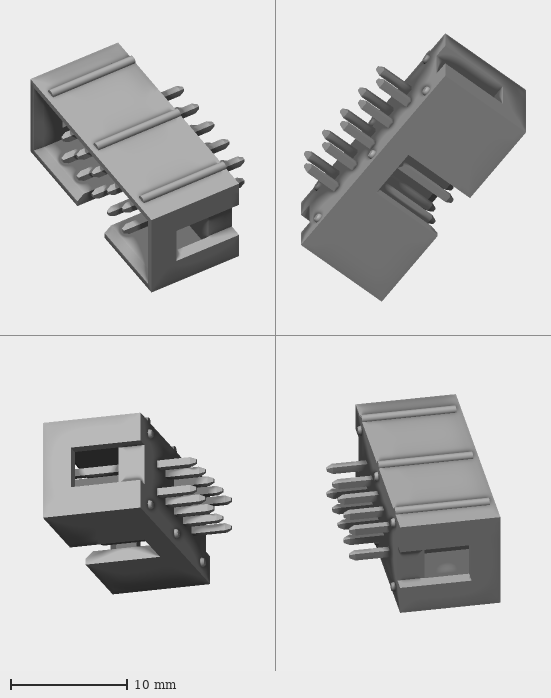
import cadquery as cq
import math

body_width = 20.32
body_depth = 8.8
body_height = 8.7
wall = 1.15
rim_thickness = 0.57
lead_in_depth = 0.65
floor_thickness = 2.35

pitch = 2.55
pin_columns = 5
pin_rows = 2
pin_width = 0.65
pin_tail = 3.5
pin_front_gap = 0.16
tip_width = 0.3
tip_length = 0.49

side_slot_height = 3.62
side_slot_length = 6.28
side_slot_depth = 1.22

key_width = 4.55
key_height = 1.5
key_floor_recess = 0.26

rib_spacing = 3 * pitch
rib_width = 0.83
rib_height = 0.4
rib_flat = 0.06
rib_front_gap = 0.5
bump_radius = 0.43
bump_height = 0.3
bump_edge_offset = 1.1

mid_height = body_height / 2
rib_positions = [-rib_spacing, 0, rib_spacing]


def box(width, depth, height, x, y, z):
    """Box centred on x, starting at y and z."""
    return cq.Workplane("XY").box(width, depth, height, centered=(True, False, False)).translate((x, y, z))


def make_shroud():
    """Box body with a cavity whose mouth is flared by a lead-in chamfer."""
    shroud = box(body_width, body_depth, body_height, 0, 0, 0)
    cavity_width = body_width - 2 * wall
    cavity_height = body_height - 2 * wall
    cavity_depth = body_depth - floor_thickness
    cavity = box(cavity_width, cavity_depth, cavity_height, 0, 0, wall)
    lead_in = (
        cq.Workplane("XZ", origin=(0, 0, mid_height))
        .rect(body_width - 2 * rim_thickness, body_height - 2 * rim_thickness)
        .workplane(offset=-lead_in_depth)
        .rect(cavity_width, cavity_height)
        .loft(ruled=True)
    )
    return shroud.cut(cavity).cut(lead_in)


def make_side_slots():
    """Slots through both end walls that also notch the ends of the floor."""
    slots = cq.Workplane("XY")
    slot_x = (body_width - side_slot_depth) / 2
    slot_y = body_depth - side_slot_length
    slot_z = mid_height - side_slot_height / 2
    for side in (-1, 1):
        slots = slots.add(
            box(side_slot_depth, side_slot_length, side_slot_height, side * slot_x, slot_y, slot_z)
        )
    return slots.combine()


def make_key_notch():
    """Notch through the bottom wall, running from the front just into the floor."""
    return box(key_width, body_depth - floor_thickness + key_floor_recess, key_height, 0, 0, 0)


def make_rib(x):
    """Round-shouldered rib along the top face, flush with the back."""
    half_width = rib_width / 2
    half_flat = rib_flat / 2
    shoulder = half_width - half_flat
    arc_sine = math.sin(math.pi / 4)
    arc_x = half_flat + shoulder * arc_sine
    arc_z = rib_height - shoulder * (1 - arc_sine)
    spring_z = rib_height - shoulder
    return (
        cq.Workplane("XZ", origin=(x, body_depth, body_height))
        .moveTo(-half_width, 0)
        .lineTo(-half_width, spring_z)
        .threePointArc((-arc_x, arc_z), (-half_flat, rib_height))
        .lineTo(half_flat, rib_height)
        .threePointArc((arc_x, arc_z), (half_width, spring_z))
        .lineTo(half_width, 0)
        .close()
        .extrude(body_depth - rib_front_gap)
    )


def make_bump(x, z):
    """Spherical standoff on the back face, cut flat at its end."""
    sphere = cq.Workplane("XY").sphere(bump_radius).translate((x, body_depth, z))
    kept = box(2 * bump_radius, bump_height, 2 * bump_radius, x, body_depth, z - bump_radius)
    return sphere.intersect(kept)


def make_pin(x, z):
    """Square pin through the floor, tapered at both ends."""
    front = pin_front_gap
    back = body_depth + pin_tail
    shank_length = back - front - 2 * tip_length
    pin = box(pin_width, shank_length, pin_width, x, front + tip_length, z - pin_width / 2)
    for end, direction in ((front, 1), (back, -1)):
        tip = (
            cq.Workplane("XZ", origin=(x, end, z))
            .rect(tip_width, tip_width)
            .workplane(offset=-direction * tip_length)
            .rect(pin_width, pin_width)
            .loft(ruled=True)
        )
        pin = pin.union(tip)
    return pin


result = make_shroud().cut(make_side_slots()).cut(make_key_notch())

for rib_x in rib_positions:
    result = result.union(make_rib(rib_x))
    for bump_z in (bump_edge_offset, body_height - bump_edge_offset):
        result = result.union(make_bump(rib_x, bump_z))

for column in range(pin_columns):
    pin_x = (column - (pin_columns - 1) / 2) * pitch
    for row in range(pin_rows):
        pin_z = mid_height + (row - (pin_rows - 1) / 2) * pitch
        result = result.union(make_pin(pin_x, pin_z))